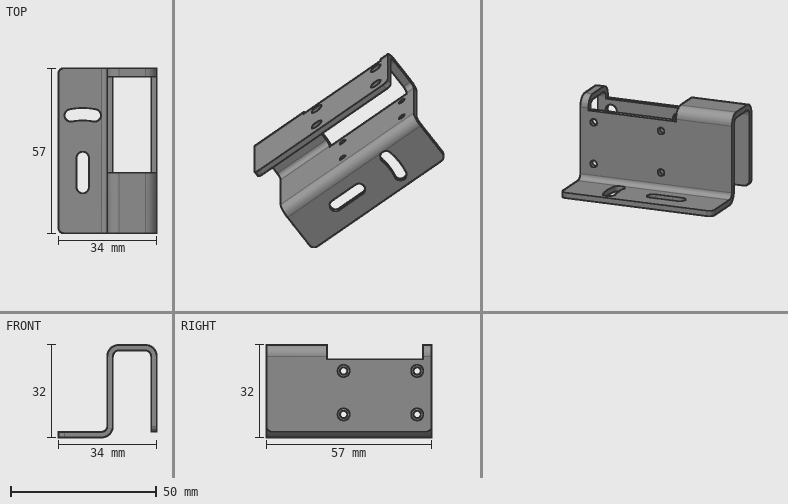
import cadquery as cq
import math

width = 34.0
length = 57.0
height = 32.0

sheet = 2.0
inner_bend = 2.0
outer_bend = inner_bend + sheet
corner_radius = 2.0
channel_width = 17.1
web_x = width - channel_width

end_strap = 3.0
window_length = 33.0
window_floor = 27.0

mount_diameter = 2.45
access_diameter = 4.2
first_hole_inset = 5.0
hole_spacing_y = 25.35
lower_hole_z = 8.0
hole_spacing_z = 15.0

slot_x = 8.45
slot_width = 4.2
slot_length = 14.25
slot_y = -7.5
arc_radius = 20.1
arc_span = 8.25

cutter_margin = 0.55


def block(x_range, y_range, z_range):
    """Box given by its lower and upper limit along each axis."""
    (x0, x1), (y0, y1), (z0, z1) = x_range, y_range, z_range
    return cq.Workplane("XY").box(x1 - x0, y1 - y0, z1 - z0, centered=False).translate((x0, y0, z0))


def bent_sheet():
    """Flange, web, roof and outer leg as one constant-thickness profile."""
    half = length / 2
    flange = block((0, web_x + sheet), (-half, half), (0, sheet))
    web = block((web_x, web_x + sheet), (-half, half), (0, height - outer_bend))
    channel = (
        block((web_x, width), (-half, half), (sheet, height))
        .edges("|Y and >Z")
        .fillet(outer_bend)
    )
    hollow = (
        block((web_x + sheet, width - sheet), (-half, half), (sheet, height - sheet))
        .edges("|Y and >Z")
        .fillet(inner_bend)
    )
    body = flange.union(web).union(channel.cut(hollow)).clean()
    body = body.edges(cq.selectors.NearestToPointSelector((web_x, 0, sheet))).fillet(inner_bend)
    return body.edges(cq.selectors.NearestToPointSelector((web_x + sheet, 0, 0))).fillet(outer_bend)


def roof_window():
    y_end = length / 2 - end_strap
    return block(
        (web_x - cutter_margin, width + cutter_margin),
        (y_end - window_length, y_end),
        (window_floor, height + cutter_margin),
    )


def wall_holes(wall_x, diameter):
    """Two-by-two hole pattern through an upright wall starting at wall_x."""
    first_y = length / 2 - first_hole_inset
    points = [
        (y, z)
        for y in (first_y, first_y - hole_spacing_y)
        for z in (lower_hole_z, lower_hole_z + hole_spacing_z)
    ]
    return cq.Workplane("YZ", origin=(wall_x, 0, 0)).pushPoints(points).circle(diameter / 2).extrude(sheet)


def straight_slot():
    return cq.Workplane("XY").center(slot_x, slot_y).slot2D(slot_length, slot_width, 90).extrude(sheet)


def arc_slot():
    """Curved slot with round ends, swept about the centre of the straight slot."""
    half_angle = math.asin(arc_span / 2 / arc_radius)
    inner = arc_radius - slot_width / 2
    outer = arc_radius + slot_width / 2

    def polar(radius, angle):
        return radius * math.sin(angle), radius * math.cos(angle)

    def end_tip(side):
        x, y = polar(arc_radius, side * half_angle)
        reach = side * slot_width / 2
        return x + reach * math.cos(half_angle), y - abs(reach) * math.sin(half_angle)

    return (
        cq.Workplane("XY", origin=(slot_x, slot_y, 0))
        .moveTo(*polar(outer, -half_angle))
        .threePointArc((0, outer), polar(outer, half_angle))
        .threePointArc(end_tip(1), polar(inner, half_angle))
        .threePointArc((0, inner), polar(inner, -half_angle))
        .threePointArc(end_tip(-1), polar(outer, -half_angle))
        .close()
        .extrude(sheet)
    )


body = bent_sheet()
body = body.edges("|Z and <X").fillet(corner_radius)

leg_corners = cq.selectors.BoxSelector(
    (web_x + outer_bend, -length, 0),
    (width + cutter_margin, length, sheet + cutter_margin),
)
body = body.edges(leg_corners).edges("|X").fillet(corner_radius)

result = (
    body.cut(roof_window())
    .cut(wall_holes(web_x, mount_diameter))
    .cut(wall_holes(width - sheet, access_diameter))
    .cut(straight_slot())
    .cut(arc_slot())
)